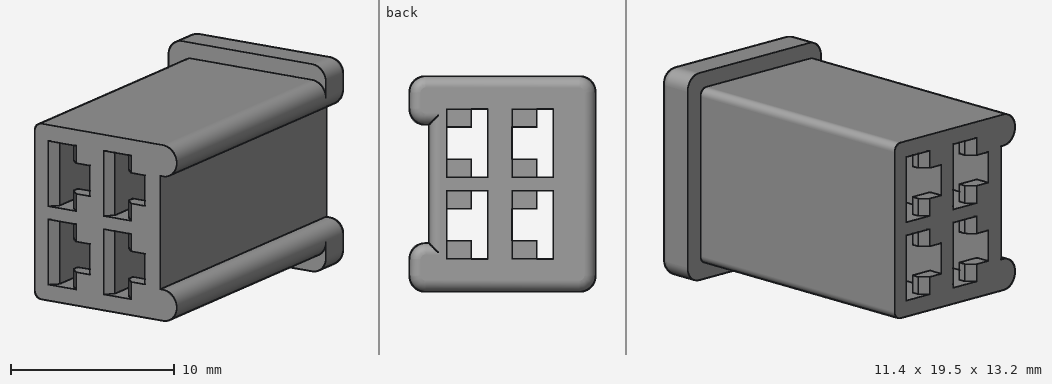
import cadquery as cq

width = 11.4
length = 19.5
height = 13.2

flange_thickness = 2.5
flange_corner_radius = 1.0
flange_rear_fillet = 0.7

body_side_inset = 1.11
body_height = 11.2
body_corner_radius = 0.5

lip_radius = 1.0
recess_depth = 1.19

cavity_pitch_x = 4.0
cavity_pitch_z = 5.0
cavity_margin = 1.0
mouth_width = 2.0
mouth_height = 4.15
mouth_bevel = 0.5
keyway_reach = 1.0
keyway_height = 1.95
ledge_depth = 1.0

right_x = width / 2
body_left_x = -width / 2 + body_side_inset
recess_x = right_x - recess_depth
lip_x = right_x - lip_radius
lip_z = body_height / 2 - lip_radius
recess_z = lip_z - lip_radius


def upright_block(left, right, block_height, start_y, depth):
    """Box centred on Z that runs from start_y toward the rear."""
    return (
        cq.Workplane("XY")
        .box(right - left, depth, block_height, centered=(False, False, True))
        .translate((left, start_y, 0))
    )


def recess():
    """Channel along the right side, with a rounded lip above and below it."""
    return (
        cq.Workplane("XZ")
        .moveTo(recess_x, -recess_z)
        .lineTo(lip_x, -recess_z)
        .radiusArc((right_x, -lip_z), lip_radius)
        .lineTo(right_x, lip_z)
        .radiusArc((lip_x, recess_z), lip_radius)
        .lineTo(recess_x, recess_z)
        .close()
        .extrude(-length)
    )


def flange():
    block = upright_block(-width / 2, right_x, height, length - flange_thickness, flange_thickness)
    block = block.edges("|Y").fillet(flange_corner_radius)
    return block.cut(recess()).faces(">Y").edges().fillet(flange_rear_fillet)


def body():
    block = upright_block(body_left_x, right_x, body_height, 0, length - flange_thickness)
    block = block.edges("|Y and <X").fillet(body_corner_radius)
    block = block.edges("|Y and >X").fillet(lip_radius)
    return block.cut(recess())


def cavity():
    """Cutter for one cavity, with the left wall of its mouth at X = 0."""
    cavity_right = mouth_width + keyway_reach
    mouth = (
        cq.Workplane("XY")
        .workplane(offset=-mouth_height / 2)
        .polyline([
            (0, 0),
            (mouth_width, 0),
            (mouth_width - mouth_bevel, mouth_bevel),
            (mouth_width - mouth_bevel, ledge_depth),
            (mouth_bevel, ledge_depth),
            (mouth_bevel, mouth_bevel),
        ])
        .close()
        .extrude(mouth_height)
    )
    keyway = upright_block(mouth_bevel, cavity_right, keyway_height, 0, ledge_depth)
    chamber = upright_block(mouth_bevel, cavity_right, mouth_height, ledge_depth, length - ledge_depth)
    return mouth.union(keyway).union(chamber)


result = flange().union(body())
for column in range(2):
    for row in (-0.5, 0.5):
        cavity_x = body_left_x + cavity_margin + column * cavity_pitch_x
        result = result.cut(cavity().translate((cavity_x, 0, row * cavity_pitch_z)))